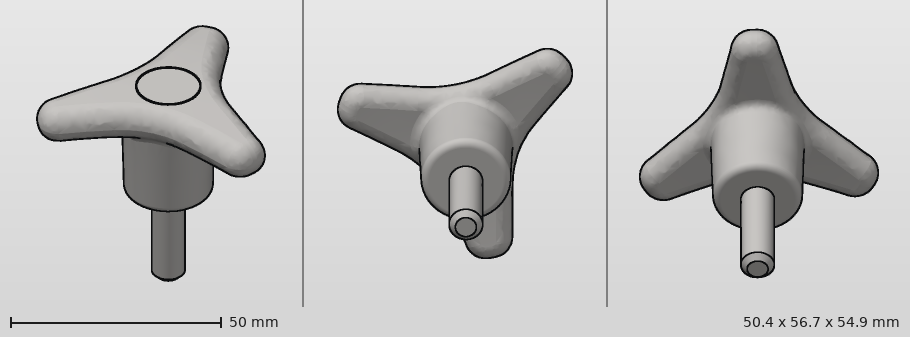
import cadquery as cq
import math


ARM_COUNT = 3
TIP_REACH = 31.56
TIP_CORNER = 5.0
TIP_FLAT_HALF = 0.68
ARM_TAPER = 12.0
VALLEY_RADIUS = 27.8

CROWN_RADIUS = 200.0
CROWN_TOP = 30.05
CROWN_BOTTOM = 21.3
UPPER_ROUND = 4.82
LOWER_ROUND = 3.85

CAP_SEAT_DIAMETER = 15.45
CAP_DIAMETER = 15.08
CAP_TOP = 29.9
CAP_GROOVE_DEPTH = 0.2

HUB_HEIGHT = 23.0
HUB_BOTTOM_RADIUS = 10.6
HUB_TAPER = 1.5
HUB_EDGE_ROUND = 1.8
RIM_FLOOR = 18.0
HUB_BLEND = 2.0

STUD_DIAMETER = 8.0
STUD_LENGTH = 25.0
STUD_CHAMFER = 1.5


def turned(point, angle):
    """Rotate a plan point about the axis by an angle in degrees."""
    x, y = point
    c = math.cos(math.radians(angle))
    s = math.sin(math.radians(angle))
    return (x * c - y * s, x * s + y * c)


def mirrored(point):
    """Reflect a plan point across the centreline of the arm along +X."""
    return (point[0], -point[1])


def handle_outline():
    """Closed plan outline: tapered arms with rounded tips, joined by concave valleys."""
    pitch = 360.0 / ARM_COUNT
    taper = math.radians(ARM_TAPER)

    centre_x = TIP_REACH - TIP_CORNER
    bisector = (math.pi / 2 - taper) / 2
    corner_start = (TIP_REACH, TIP_FLAT_HALF)
    corner_mid = (
        centre_x + TIP_CORNER * math.cos(bisector),
        TIP_FLAT_HALF + TIP_CORNER * math.sin(bisector),
    )
    corner_end = (
        centre_x + TIP_CORNER * math.sin(taper),
        TIP_FLAT_HALF + TIP_CORNER * math.cos(taper),
    )

    half_pitch = pitch / 2
    half_sweep = math.radians(90.0 - half_pitch - ARM_TAPER)
    end_out, end_side = turned(corner_end, -half_pitch)
    valley_side = VALLEY_RADIUS * math.sin(half_sweep)
    valley_out = end_out + (end_side + valley_side) * math.tan(half_sweep)
    valley_low = valley_out - VALLEY_RADIUS * (1 - math.cos(half_sweep))
    valley_start = turned((valley_out, -valley_side), half_pitch)
    valley_mid = turned((valley_low, 0), half_pitch)
    valley_end = turned((valley_out, valley_side), half_pitch)

    outline = cq.Workplane("XY").moveTo(*mirrored(corner_start))
    for arm in range(ARM_COUNT):
        here = arm * pitch
        following = here + pitch
        outline = (
            outline.lineTo(*turned(corner_start, here))
            .threePointArc(turned(corner_mid, here), turned(corner_end, here))
            .lineTo(*turned(valley_start, here))
            .threePointArc(turned(valley_mid, here), turned(valley_end, here))
            .lineTo(*turned(mirrored(corner_end), following))
            .threePointArc(
                turned(mirrored(corner_mid), following),
                turned(mirrored(corner_start), following),
            )
        )
    return outline.close()


def crown_ball(apex_height):
    """Ball touching the given height on the axis, its poles turned away from the handle."""
    ball = cq.Workplane("XY").sphere(CROWN_RADIUS).rotate((0, 0, 0), (1, 0, 0), 90)
    return ball.translate((0, 0, apex_height - CROWN_RADIUS))


def make_handle():
    """Crowned plate with fully rounded sides."""
    column = handle_outline().extrude(CROWN_TOP)
    plate = column.intersect(crown_ball(CROWN_TOP)).cut(crown_ball(CROWN_BOTTOM))
    plate = cq.Workplane(plate.solids().val())
    lower_face = cq.selectors.NearestToPointSelector((0, 0, 0))
    upper_face = cq.selectors.NearestToPointSelector((0, 0, 2 * CROWN_TOP))
    plate = plate.faces(lower_face).edges().fillet(LOWER_ROUND)
    return plate.faces(upper_face).edges().fillet(UPPER_ROUND)


def make_hub():
    """Tapered hub, widening towards the handle."""
    top_radius = HUB_BOTTOM_RADIUS + HUB_HEIGHT * math.tan(math.radians(HUB_TAPER))
    profile = (
        cq.Workplane("XZ")
        .lineTo(HUB_BOTTOM_RADIUS, 0)
        .lineTo(top_radius, HUB_HEIGHT)
        .lineTo(0, HUB_HEIGHT)
        .close()
    )
    hub = profile.revolve(360, (0, 0, 0), (0, 1, 0))
    return hub.faces("<Z").edges().fillet(HUB_EDGE_ROUND)


def blend_hub(handle_and_hub):
    """Fillet the rim where the hub wall meets the underside of the handle."""
    rim_zone = cq.selectors.BoxSelector(
        (-TIP_REACH, -TIP_REACH, RIM_FLOOR),
        (TIP_REACH, TIP_REACH, CROWN_TOP),
    )
    return handle_and_hub.faces("%CONE").edges(rim_zone).fillet(HUB_BLEND)


def cap_cutter():
    """Cutter that flattens the crown over the cap and leaves a narrow groove around it."""
    cap_plane = cq.Workplane("XY", origin=(0, 0, CAP_TOP))
    recess = cap_plane.circle(CAP_SEAT_DIAMETER / 2).extrude(CROWN_TOP - CAP_TOP)
    groove = (
        cap_plane
        .circle(CAP_SEAT_DIAMETER / 2)
        .circle(CAP_DIAMETER / 2)
        .extrude(-CAP_GROOVE_DEPTH)
    )
    return recess.union(groove)


def make_stud():
    """Plain stud with a chamfered end."""
    stud = cq.Workplane("XY").circle(STUD_DIAMETER / 2).extrude(-STUD_LENGTH)
    return stud.faces("<Z").edges().chamfer(STUD_CHAMFER)


body = blend_hub(make_handle().union(make_hub()))
result = body.cut(cap_cutter()).union(make_stud())